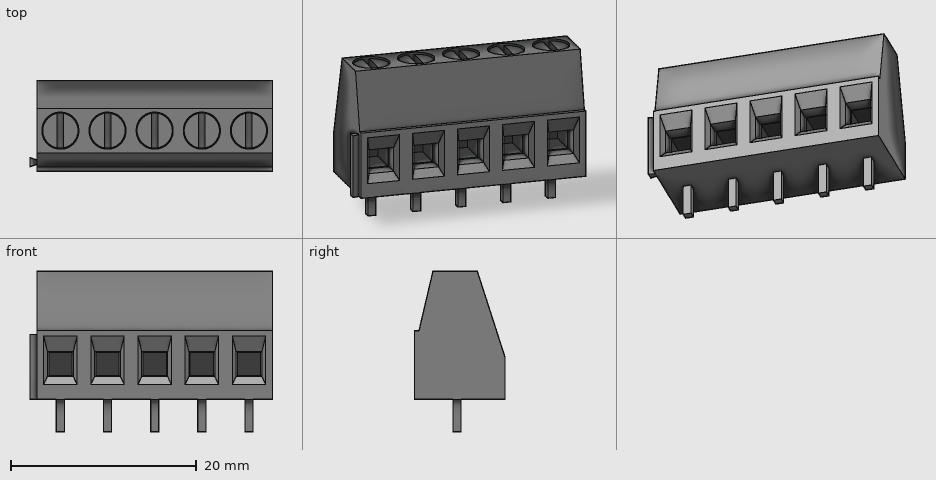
import cadquery as cq


POLES = 5
PITCH = 5.08

LENGTH = POLES * PITCH
DEPTH = 9.8
HEIGHT = 13.8
LEDGE_DEPTH = 0.5
LEDGE_HEIGHT = 7.4
TOP_FRONT = 2.0
TOP_BACK = 6.8
BACK_WALL_HEIGHT = 4.5

RAIL_PROTRUSION = 0.74
RAIL_HEIGHT = 7.0
RAIL_Y = 1.0
RAIL_ROOT_WIDTH = 0.5
RAIL_OUTER_WIDTH = 1.0

MOUTH_WIDTH = 3.6
MOUTH_BOTTOM = 1.6
MOUTH_TOP = 6.8
MOUTH_DEPTH = 0.8
BORE_WIDTH = 2.8
BORE_HEIGHT = 2.7
BORE_END = 2.45
INNER_BORE_SIZE = 2.5
INNER_BORE_END = 6.0
BORE_Z = 3.8

SCREW_Y = (TOP_FRONT + TOP_BACK) / 2
WELL_DIAMETER = 4.0
WELL_DEPTH = 1.5
SCREW_DIAMETER = 3.8
SCREW_RECESS = 0.2
SLOT_WIDTH = 0.7
SLOT_DEPTH = 0.8

PIN_SIZE = 0.9
PIN_LENGTH = 3.5
PIN_Y = 4.6

POLE_CENTRES = [(i - (POLES - 1) / 2) * PITCH for i in range(POLES)]


def make_housing():
    """Extrude the end profile along the full row of poles."""
    profile = [
        (0, 0),
        (DEPTH, 0),
        (DEPTH, BACK_WALL_HEIGHT),
        (TOP_BACK, HEIGHT),
        (TOP_FRONT, HEIGHT),
        (LEDGE_DEPTH, LEDGE_HEIGHT),
        (0, LEDGE_HEIGHT),
    ]
    return cq.Workplane("YZ").polyline(profile).close().extrude(LENGTH / 2, both=True)


def make_rail():
    """Vertical dovetail that widens away from the -X end face."""
    root_x = -LENGTH / 2
    outer_x = root_x - RAIL_PROTRUSION
    section = [
        (root_x, RAIL_Y - RAIL_ROOT_WIDTH / 2),
        (root_x, RAIL_Y + RAIL_ROOT_WIDTH / 2),
        (outer_x, RAIL_Y + RAIL_OUTER_WIDTH / 2),
        (outer_x, RAIL_Y - RAIL_OUTER_WIDTH / 2),
    ]
    return cq.Workplane("XY").polyline(section).close().extrude(RAIL_HEIGHT)


def front_plane(x, y):
    """Workplane facing +Y at depth y, centred on the wire bore of the pole at x."""
    return cq.Workplane(cq.Plane(origin=(x, y, BORE_Z), xDir=(-1, 0, 0), normal=(0, 1, 0)))


def make_wire_entry(x):
    """Cutting body of one wire entry."""
    mouth_height = MOUTH_TOP - MOUTH_BOTTOM
    mouth_offset = (MOUTH_TOP + MOUTH_BOTTOM) / 2 - BORE_Z
    mouth = (
        front_plane(x, 0)
        .center(0, mouth_offset)
        .rect(MOUTH_WIDTH, mouth_height)
        .workplane(offset=MOUTH_DEPTH)
        .center(0, -mouth_offset)
        .rect(BORE_WIDTH, BORE_HEIGHT)
        .loft(ruled=True)
    )
    bore = front_plane(x, MOUTH_DEPTH).rect(BORE_WIDTH, BORE_HEIGHT).extrude(BORE_END - MOUTH_DEPTH)
    inner_bore = (
        front_plane(x, BORE_END)
        .rect(INNER_BORE_SIZE, INNER_BORE_SIZE)
        .extrude(INNER_BORE_END - BORE_END)
    )
    return mouth.union(bore).union(inner_bore)


def make_screw_well(x):
    """Cutting body of one screw well, leaving the slotted screw head standing in it."""
    well_floor = cq.Workplane("XY", origin=(x, SCREW_Y, HEIGHT - WELL_DEPTH))
    well = well_floor.circle(WELL_DIAMETER / 2).extrude(WELL_DEPTH)
    screw = well_floor.circle(SCREW_DIAMETER / 2).extrude(WELL_DEPTH - SCREW_RECESS)
    screw_top = cq.Workplane("XY", origin=(x, SCREW_Y, HEIGHT - SCREW_RECESS))
    slot = screw_top.rect(SLOT_WIDTH, SCREW_DIAMETER).extrude(-SLOT_DEPTH)
    return well.cut(screw.cut(slot))


def make_pin(x):
    """Square solder pin below the housing."""
    return cq.Workplane("XY", origin=(x, PIN_Y, 0)).rect(PIN_SIZE, PIN_SIZE).extrude(-PIN_LENGTH)


result = make_housing().union(make_rail())
for pole_x in POLE_CENTRES:
    result = result.cut(make_wire_entry(pole_x))
    result = result.cut(make_screw_well(pole_x))
    result = result.union(make_pin(pole_x))